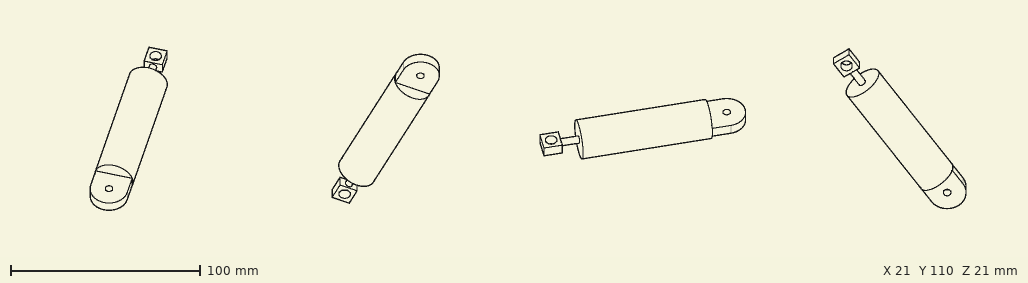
import cadquery as cq

total_length = 110.0
body_diameter = 21.0
lug_width = 20.0
lug_thickness = 6.0
lug_hole_diameter = 4.0
rod_diameter = 4.0
rod_length = 10.0
eye_size = 10.0
eye_thickness = 6.0
eye_hole_diameter = 6.0

lug_radius = lug_width / 2
lug_length = 2 * lug_radius
body_start = lug_length
rod_start = total_length - eye_size - rod_length
eye_start = total_length - eye_size
eye_center = eye_start + eye_size / 2


def cylinder_along_y(diameter, start, end):
    """Round bar on the Y axis between two positions."""
    return (
        cq.Workplane("XZ", origin=(0, start, 0))
        .circle(diameter / 2)
        .extrude(start - end)
    )


def mounting_lug():
    """Flat tongue with a full-round end and a pin hole at the round's center."""
    return (
        cq.Workplane("XY")
        .moveTo(-lug_radius, body_start)
        .lineTo(-lug_radius, lug_radius)
        .threePointArc((0, 0), (lug_radius, lug_radius))
        .lineTo(lug_radius, body_start)
        .close()
        .moveTo(0, lug_radius)
        .circle(lug_hole_diameter / 2)
        .extrude(lug_thickness / 2, both=True)
    )


def rod_eye():
    """Square block on the rod end with a vertical pin hole."""
    return (
        cq.Workplane("XY", origin=(0, eye_center, 0))
        .rect(eye_size, eye_size)
        .circle(eye_hole_diameter / 2)
        .extrude(eye_thickness / 2, both=True)
    )


body = cylinder_along_y(body_diameter, body_start, rod_start)
rod = cylinder_along_y(rod_diameter, rod_start, eye_start)

result = body.union(mounting_lug()).union(rod).union(rod_eye())